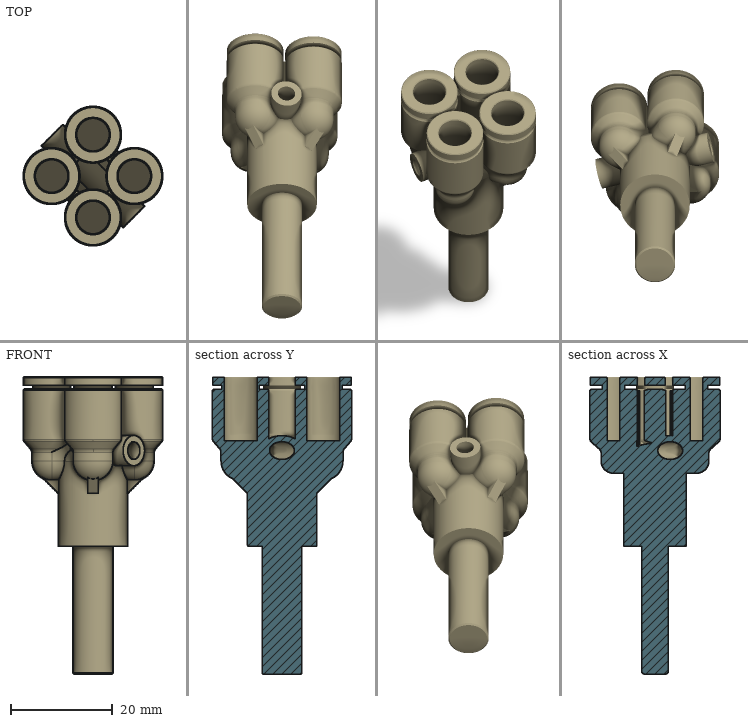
import cadquery as cq
import math

height = 58.45
span = 27.4
body_radius = 5.58
socket_offset = span / 2 - body_radius
socket_angles = [0, 90, 180, 270]

stem_radius = 4.0
stem_edge = 0.3
barrel_radius = 6.85
barrel_bottom = 25.15
dome_top = 45.9
dome_radius = 10.5
barrel_blend = 2.9

collar_radius = 5.55
collar_height = 1.7
collar_edge = 0.2
groove_radius = 3.75
groove_height = 0.7
body_edge = 0.3
body_bottom = 45.95
cone_bottom = 44.0
shoulder_blend = 0.7
neck_blend = 1.0
elbow_radius = 3.9
elbow_level = 41.95
arm_start = 3.5
port_radius = 3.2
port_edge = 0.2

web_inner_radius = 4.2
web_outer_radius = 6.0
web_width = 0.5
web_top = 55.75

gusset_width = 2.05
gusset_bottom = 35.55

cross_level = 43.95
cross_radius = 3.0
cross_bore_radius = 1.7
cross_length = 22.7


def make_stem():
    stem = cq.Workplane("XY").circle(stem_radius).extrude(barrel_bottom)
    return stem.faces("<Z").edges().chamfer(stem_edge)


def make_barrel():
    """Barrel with a shallow spherical top and a blended shoulder."""
    dome_drop = dome_radius - math.sqrt(dome_radius**2 - barrel_radius**2)
    profile = (
        cq.Workplane("XZ")
        .moveTo(0, barrel_bottom)
        .lineTo(barrel_radius, barrel_bottom)
        .lineTo(barrel_radius, dome_top - dome_drop)
        .radiusArc((0, dome_top), -dome_radius)
        .close()
    )
    barrel = profile.revolve(360, (0, 0), (0, 1))
    return barrel.faces("%SPHERE").edges("%CIRCLE").fillet(barrel_blend)


def level_circles(level):
    """Selector for the rim of a socket at one level."""
    reach = body_radius
    return cq.selectors.BoxSelector((-reach, -reach, level - 0.05), (reach, reach, level + 0.05))


def make_socket():
    """Upright socket with a ball-shaped lower end, on its own axis."""
    collar_bottom = height - collar_height
    body_top = collar_bottom - groove_height
    profile = (
        cq.Workplane("XZ")
        .moveTo(0, height)
        .lineTo(collar_radius - collar_edge, height)
        .lineTo(collar_radius, height - collar_edge)
        .lineTo(collar_radius, collar_bottom)
        .lineTo(groove_radius, collar_bottom)
        .lineTo(groove_radius, body_top)
        .lineTo(body_radius - body_edge, body_top)
        .lineTo(body_radius, body_top - body_edge)
        .lineTo(body_radius, body_bottom)
        .lineTo(elbow_radius, cone_bottom)
        .lineTo(elbow_radius, elbow_level)
        .radiusArc((0, elbow_level - elbow_radius), elbow_radius)
        .close()
    )
    socket = profile.revolve(360, (0, 0), (0, 1))
    socket = socket.edges(level_circles(body_bottom)).fillet(shoulder_blend)
    return socket.edges(level_circles(cone_bottom)).fillet(neck_blend)


def make_arm():
    """Round-bottomed arm that joins a socket on +X to the barrel."""
    section = (
        cq.Workplane("YZ")
        .moveTo(-elbow_radius, body_bottom)
        .lineTo(-elbow_radius, elbow_level)
        .threePointArc((0, elbow_level - elbow_radius), (elbow_radius, elbow_level))
        .lineTo(elbow_radius, body_bottom)
        .close()
    )
    arm = section.extrude(socket_offset - arm_start)
    return arm.translate((arm_start, 0, 0))


def make_gusset():
    """45 degree web between the barrel and the arm on +X, ending inside the ball."""
    reach = (socket_offset - barrel_radius + elbow_level - gusset_bottom) / 2
    outline = (
        cq.Workplane("XZ")
        .moveTo(0, gusset_bottom)
        .lineTo(barrel_radius, gusset_bottom)
        .lineTo(barrel_radius + reach, gusset_bottom + reach)
        .lineTo(0, gusset_bottom + reach)
        .close()
    )
    return outline.extrude(gusset_width / 2, both=True)


def make_web():
    """Upright web between the sockets on +X and +Y, standing on the barrel."""
    web_length = web_outer_radius - web_inner_radius
    web = cq.Workplane("XY").box(web_length, web_width, web_top - elbow_level, centered=(False, True, False))
    return web.translate((web_inner_radius, 0, elbow_level)).rotate((0, 0, 0), (0, 0, 1), 45)


def make_port():
    """Blind tube port with a chamfered mouth, on the socket axis."""
    port = cq.Workplane("XY").workplane(offset=body_bottom).circle(port_radius)
    port = port.extrude(height - body_bottom)
    mouth = cq.Workplane("XY").workplane(offset=height).circle(port_radius + port_edge)
    return port.union(mouth.extrude(-port_edge, taper=45))


def cross_rod(radius):
    """Rod centred on the part axis, lying midway between the socket arms."""
    rod = cq.Workplane("YZ").circle(radius).extrude(cross_length / 2, both=True)
    return rod.rotate((0, 0, 0), (0, 0, 1), -45).translate((0, 0, cross_level))


result = make_stem().union(make_barrel()).union(cross_rod(cross_radius))
branch = make_socket().translate((socket_offset, 0, 0))
branch = branch.union(make_arm()).union(make_gusset()).union(make_web())
port = make_port().translate((socket_offset, 0, 0))
for angle in socket_angles:
    result = result.union(branch.rotate((0, 0, 0), (0, 0, 1), angle))
for angle in socket_angles:
    result = result.cut(port.rotate((0, 0, 0), (0, 0, 1), angle))
result = result.cut(cross_rod(cross_bore_radius))